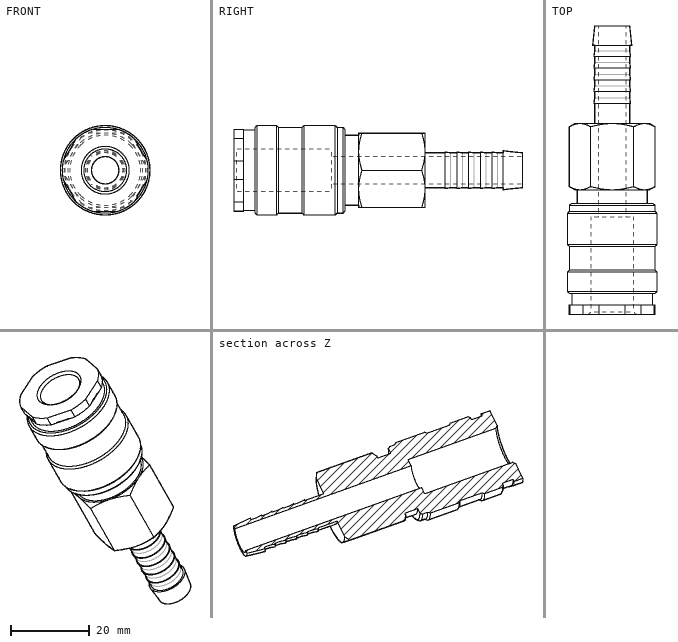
import cadquery as cq
import math

total_length = 74.0

sleeve_diameter = 23.0
sleeve_radius = sleeve_diameter / 2
grip_radius = 11.0
front_neck_radius = 10.35
rear_neck_radius = 9.0
sleeve_chamfer = 0.5

end_ring_end = 2.5
front_neck_end = 5.4
front_collar_end = 11.4
grip_end = 17.5
rear_collar_end = 26.5
shoulder_end = 28.5
nut_start = 32.0
nut_end = 49.0

hexagon_sides = 6
flat_to_corner = math.cos(math.pi / hexagon_sides)

ring_flat_distance = 10.5

nut_corner_radius = 11.0
nut_flat_distance = nut_corner_radius * flat_to_corner
nut_chamfer_angle = 30.0

tail_radius = 4.5
barb_radius = 4.7
barb_count = 5
barb_length = 1.4
first_barb_edge = 54.2
last_barb_edge = 66.15
barb_pitch = (last_barb_edge - first_barb_edge) / (barb_count - 1)
tip_edge = 69.05
tip_radius = 5.0

socket_radius = 5.5
socket_depth = 25.0
socket_chamfer = 0.7
bore_radius = 3.5


def revolve_about_y(points):
    """Revolve a closed outline of (radius, y) points about the Y axis."""
    return cq.Workplane("XY").polyline(points).close().revolve(360, (0, 0), (0, 1))


def cylinder(radius, start, end):
    """Cylinder on the Y axis between two stations."""
    return revolve_about_y([(0, start), (radius, start), (radius, end), (0, end)])


def hexagonal_bar(corner_radius, start, end):
    """Hexagonal bar on the Y axis with flats facing +Z and -Z."""
    bar = cq.Workplane("XZ").polygon(hexagon_sides, 2 * corner_radius).extrude(start - end)
    return bar.translate((0, start, 0))


def make_end_ring():
    ring = cylinder(grip_radius, 0, end_ring_end)
    hexagon = hexagonal_bar(ring_flat_distance / flat_to_corner, 0, end_ring_end)
    return ring.intersect(hexagon)


def make_sleeve():
    c = sleeve_chamfer
    return revolve_about_y([
        (0, end_ring_end),
        (front_neck_radius, end_ring_end),
        (front_neck_radius, front_neck_end),
        (sleeve_radius - c, front_neck_end),
        (sleeve_radius, front_neck_end + c),
        (sleeve_radius, front_collar_end - c),
        (grip_radius, front_collar_end),
        (grip_radius, grip_end),
        (sleeve_radius, grip_end + c),
        (sleeve_radius, rear_collar_end - c),
        (grip_radius, rear_collar_end),
        (grip_radius, shoulder_end - c),
        (grip_radius - c, shoulder_end),
        (rear_neck_radius, shoulder_end),
        (rear_neck_radius, nut_start),
        (0, nut_start),
    ])


def make_nut():
    """Hexagon whose corners are cut back by a cone at each end."""
    corner_overhang = nut_corner_radius - nut_flat_distance
    corner_setback = corner_overhang * math.tan(math.radians(nut_chamfer_angle))
    envelope = revolve_about_y([
        (0, nut_start),
        (nut_flat_distance, nut_start),
        (nut_corner_radius, nut_start + corner_setback),
        (nut_corner_radius, nut_end - corner_setback),
        (nut_flat_distance, nut_end),
        (0, nut_end),
    ])
    return hexagonal_bar(nut_corner_radius, nut_start, nut_end).intersect(envelope)


def make_hose_tail():
    """Tail whose barbs have a square edge towards the nut and taper to the tip."""
    outline = [(0, nut_end), (tail_radius, nut_end)]
    for i in range(barb_count):
        edge = first_barb_edge + i * barb_pitch
        outline += [
            (tail_radius, edge),
            (barb_radius, edge),
            (tail_radius, edge + barb_length),
        ]
    outline += [
        (tail_radius, tip_edge),
        (tip_radius, tip_edge),
        (tail_radius, total_length),
        (0, total_length),
    ]
    return revolve_about_y(outline)


def make_cavity():
    """Chamfered socket leading into the bore through the hose tail."""
    return revolve_about_y([
        (0, 0),
        (socket_radius + socket_chamfer, 0),
        (socket_radius, socket_chamfer),
        (socket_radius, socket_depth),
        (bore_radius, socket_depth),
        (bore_radius, total_length),
        (0, total_length),
    ])


body = make_end_ring().union(make_sleeve()).union(make_nut()).union(make_hose_tail())
result = body.cut(make_cavity())